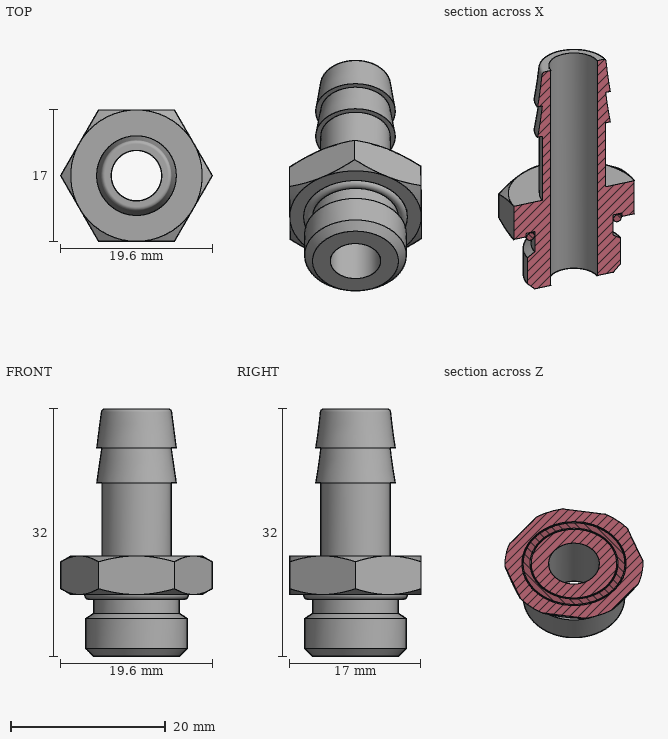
import cadquery as cq
import math

total_height = 32.0
bore_diameter = 6.5

thread_diameter = 13.15
neck_diameter = 11.1
thread_end_chamfer = (thread_diameter - neck_diameter) / 2
thread_top_z = 4.9
neck_start_z = 5.57

hex_across_flats = 17.0
hex_bottom_z = 8.0
hex_height = 5.0
hex_top_z = hex_bottom_z + hex_height
hex_corner_bevel_angle = 30.0

tail_diameter = 9.0
barb_diameter = 10.3
lower_barb_z = 22.43
upper_barb_z = 26.95
tip_diameter = 9.0
tip_fillet = 0.48

seal_outer_diameter = 13.4
seal_thickness = (seal_outer_diameter - neck_diameter) / 2
seal_center_z = 7.95
seal_center_radius = (seal_outer_diameter - seal_thickness) / 2


def revolve_profile(points):
    """Revolve a closed (radius, height) outline around the Z axis."""
    return cq.Workplane("XZ").polyline(points).close().revolve(360, (0, 0), (0, 1))


def make_threaded_end():
    thread_radius = thread_diameter / 2
    neck_radius = neck_diameter / 2
    return revolve_profile([
        (0, 0),
        (thread_radius - thread_end_chamfer, 0),
        (thread_radius, thread_end_chamfer),
        (thread_radius, thread_top_z),
        (neck_radius, neck_start_z),
        (neck_radius, hex_top_z),
        (0, hex_top_z),
    ])


def make_hexagon():
    """Hexagonal prism with corners bevelled on both faces by a double cone."""
    across_corners = hex_across_flats / math.cos(math.radians(30))
    prism = (
        cq.Workplane("XY", origin=(0, 0, hex_bottom_z))
        .polygon(6, across_corners)
        .extrude(hex_height)
    )
    flat_radius = hex_across_flats / 2
    corner_radius = across_corners / 2
    bevel_height = (corner_radius - flat_radius) * math.tan(math.radians(hex_corner_bevel_angle))
    bevel_envelope = revolve_profile([
        (0, hex_bottom_z),
        (flat_radius, hex_bottom_z),
        (corner_radius, hex_bottom_z + bevel_height),
        (corner_radius, hex_top_z - bevel_height),
        (flat_radius, hex_top_z),
        (0, hex_top_z),
    ])
    return prism.intersect(bevel_envelope)


def make_hose_tail():
    tail_radius = tail_diameter / 2
    barb_radius = barb_diameter / 2
    tail = revolve_profile([
        (0, hex_bottom_z),
        (tail_radius, hex_bottom_z),
        (tail_radius, lower_barb_z),
        (barb_radius, lower_barb_z),
        (tail_radius, upper_barb_z),
        (barb_radius, upper_barb_z),
        (tip_diameter / 2, total_height),
        (0, total_height),
    ])
    return tail.faces(">Z").edges().fillet(tip_fillet)


def make_fitting():
    bore = cq.Workplane("XY").circle(bore_diameter / 2).extrude(total_height)
    groove_depth = seal_center_z + seal_thickness / 2 - hex_bottom_z
    seal_groove = (
        cq.Workplane("XY", origin=(0, 0, hex_bottom_z))
        .circle(seal_outer_diameter / 2)
        .circle(neck_diameter / 2)
        .extrude(groove_depth)
    )
    hexagon = make_hexagon().cut(seal_groove)
    return make_threaded_end().union(hexagon).union(make_hose_tail()).cut(bore)


def make_seal_ring():
    return (
        cq.Workplane("XZ")
        .center(seal_center_radius, seal_center_z)
        .circle(seal_thickness / 2)
        .revolve(360, (-seal_center_radius, 0), (-seal_center_radius, 1))
    )


fitting = make_fitting()
seal_ring = make_seal_ring()

result = cq.Compound.makeCompound([fitting.val(), seal_ring.val()])